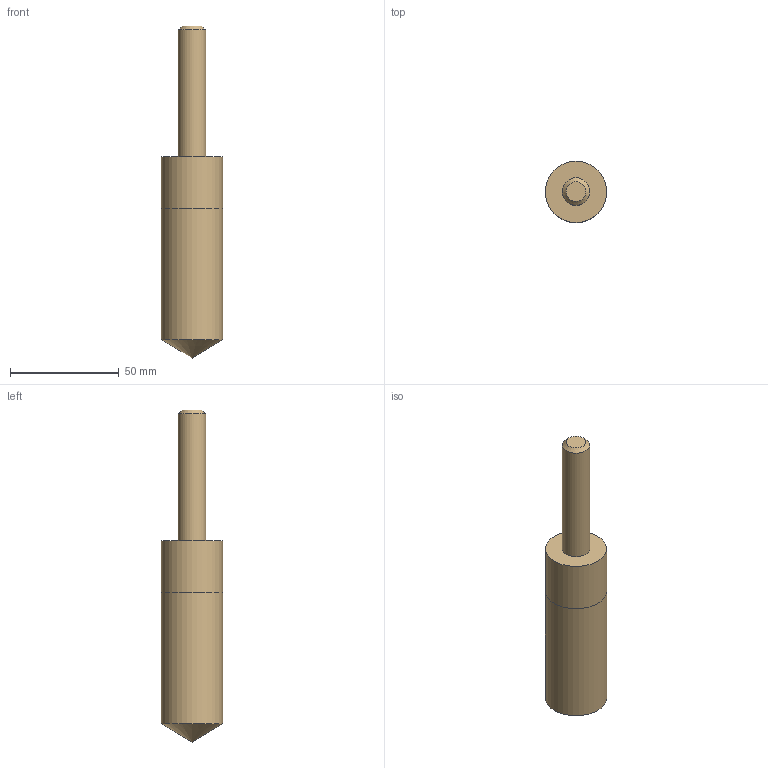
import cadquery as cq
import math

TOTAL_LENGTH = 152.4
BODY_DIAMETER = 28.16
POINT_ANGLE = 118.0
STEM_DIAMETER = 12.7
STEM_LENGTH = 60.0
STEM_CHAMFER = 1.8
COLLAR_LENGTH = 23.8

BODY_RADIUS = BODY_DIAMETER / 2
POINT_HEIGHT = BODY_RADIUS / math.tan(math.radians(POINT_ANGLE / 2))
SHOULDER_Z = TOTAL_LENGTH - STEM_LENGTH
JOINT_Z = SHOULDER_Z - COLLAR_LENGTH


def make_holder():
    """Collar with a chamfered stem standing on its top face."""
    collar = cq.Workplane("XY", origin=(0, 0, JOINT_Z)).circle(BODY_RADIUS).extrude(COLLAR_LENGTH)
    stem = (
        cq.Workplane("XY", origin=(0, 0, SHOULDER_Z))
        .circle(STEM_DIAMETER / 2)
        .extrude(STEM_LENGTH)
        .faces(">Z")
        .chamfer(STEM_CHAMFER)
    )
    return collar.union(stem)


def make_pointed_tip():
    """Cylinder ending in a downward cone, butted against the holder."""
    return (
        cq.Workplane("XZ")
        .moveTo(0, 0)
        .lineTo(BODY_RADIUS, POINT_HEIGHT)
        .lineTo(BODY_RADIUS, JOINT_Z)
        .lineTo(0, JOINT_Z)
        .close()
        .revolve(360, (0, 0, 0), (0, 1, 0))
    )


holder = make_holder()
pointed_tip = make_pointed_tip()

result = cq.Compound.makeCompound([holder.val(), pointed_tip.val()])